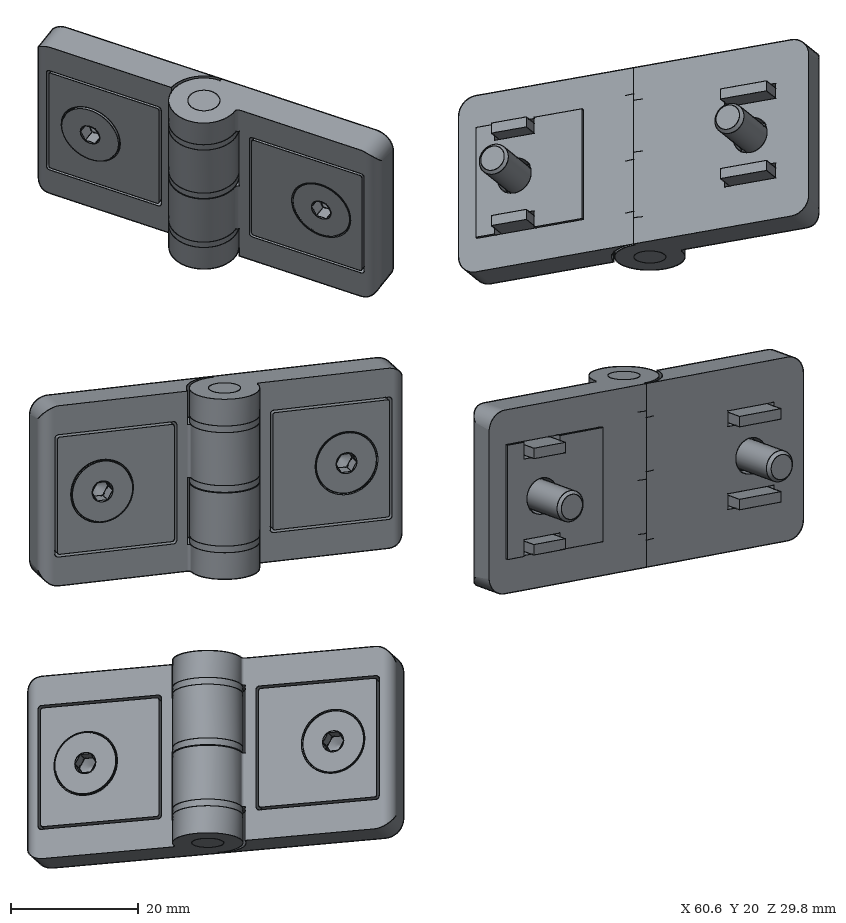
import cadquery as cq
import math

LEFT, RIGHT = -1, 1
SIDES = (LEFT, RIGHT)

half_width = 30.3
height = 29.8
half_height = height / 2
knuckle_dia = 11.0
knuckle_radius = knuckle_dia / 2
clearance_radius = 6.0
back_y = clearance_radius
front_y = 0.5
corner_radius = 3.0
end_draft = math.radians(1.0)
front_edge_radius = 2.0

end_knuckle_length = 4.4
long_knuckle_length = 8.8
washer_thickness = 1.1
axial_play = height - 2 * (end_knuckle_length + long_knuckle_length) - 3 * washer_thickness

top_washer_top = half_height - end_knuckle_length
upper_knuckle_top = top_washer_top - washer_thickness
middle_washer_top = upper_knuckle_top - long_knuckle_length
lower_knuckle_top = middle_washer_top - washer_thickness - axial_play
bottom_washer_top = lower_knuckle_top - long_knuckle_length
bottom_knuckle_top = bottom_washer_top - washer_thickness

washer_tops = (top_washer_top, middle_washer_top, bottom_washer_top)
knuckle_spans = {
    LEFT: ((middle_washer_top, upper_knuckle_top), (-half_height, bottom_knuckle_top)),
    RIGHT: ((top_washer_top, half_height), (bottom_washer_top, lower_knuckle_top)),
}
pin_dia = 5.0

insert_center_x = 17.9
insert_size = 19.4
insert_corner_radius = 0.35
insert_thickness = 3.0
insert_gap = 0.4
recess_corner_radius = 0.6
insert_back_y = front_y + insert_thickness

lug_end_y = 8.5
lug_thickness = 1.7
lug_width = {LEFT: 8.0, RIGHT: 6.05}
lug_outer_z = {LEFT: 7.6, RIGHT: 8.65}

pad_width = 18.35
pad_height = 18.55
pad_thickness = 0.5

window_outer_z = {LEFT: lug_outer_z[LEFT] + insert_gap, RIGHT: pad_height / 2}

screw_x = {LEFT: -20.2, RIGHT: 20.4}
screw_dia = 5.0
screw_length = 14.0
tip_chamfer_length = {LEFT: 0.6, RIGHT: 0.5}
tip_chamfer_depth = 0.5
head_dia = 10.0
head_height = 2.1
head_hole_rim_dia = 10.4
head_front_y = {LEFT: 0.25, RIGHT: front_y}
hex_corner_dia = 3.45
hex_depth = 2.4
socket_rim_depth = 0.1
drill_point_half_angle = math.radians(60)


def block(x_center, width, y_start, y_end, z_center, block_height):
    """Box centred in X and Z that runs from y_start to y_end."""
    return (
        cq.Workplane("XY")
        .box(width, y_end - y_start, block_height)
        .translate((x_center, (y_start + y_end) / 2, z_center))
    )


def rounded_block(x_center, width, y_start, y_end, block_height, radius):
    """Block centred on Z = 0 with its edges along Y rounded."""
    return block(x_center, width, y_start, y_end, 0, block_height).edges("|Y").fillet(radius)


def cylinder_along_y(x, diameter, y_start, y_end):
    return cq.Workplane(
        cq.Solid.makeCylinder(diameter / 2, y_end - y_start, cq.Vector(x, y_start, 0), cq.Vector(0, 1, 0))
    )


def cone_along_y(x, start_dia, end_dia, y_start, length):
    return cq.Workplane(
        cq.Solid.makeCone(start_dia / 2, end_dia / 2, length, cq.Vector(x, y_start, 0), cq.Vector(0, 1, 0))
    )


def leaf_plate(side):
    """Flat leaf from the hinge axis to its drafted, rounded outer end."""
    front_end_x = half_width - (back_y - front_y) * math.tan(end_draft)
    plate = (
        cq.Workplane("XY")
        .workplane(offset=-half_height)
        .polyline([
            (0, front_y),
            (side * front_end_x, front_y),
            (side * half_width, back_y),
            (0, back_y),
        ])
        .close()
        .extrude(height)
    )
    end_edge = cq.selectors.NearestToPointSelector((side * front_end_x, front_y, 0))
    plate = plate.edges(end_edge).fillet(front_edge_radius)
    outline = (
        block(side * half_width / 2, half_width, front_y, back_y, 0, height)
        .edges("|Y and " + (">X" if side == RIGHT else "<X"))
        .fillet(corner_radius)
    )
    return plate.intersect(outline)


def knuckle(side, bottom, top):
    """Knuckle with the small concave rounding where it runs into the leaf's front face."""
    length = top - bottom
    barrel = cq.Workplane("XY").workplane(offset=bottom).circle(knuckle_radius).extrude(length)
    round_end_x = knuckle_radius + front_y
    round_middle_x = round_end_x - front_y * math.cos(math.pi / 4)
    round_middle_y = front_y * math.sin(math.pi / 4)
    web = (
        cq.Workplane("XY")
        .workplane(offset=bottom)
        .moveTo(0, 0)
        .lineTo(side * knuckle_radius, 0)
        .threePointArc((side * round_middle_x, round_middle_y), (side * round_end_x, front_y))
        .lineTo(0, front_y)
        .close()
        .extrude(length)
    )
    return barrel.union(web)


def knuckle_clearance(side):
    """Cylinder to remove from a leaf everywhere except at its own knuckles."""
    cutter = cq.Workplane("XY").circle(clearance_radius).extrude(half_height, both=True)
    for bottom, top in knuckle_spans[side]:
        kept = block(0, 2 * half_width, -half_width, half_width, (bottom + top) / 2, top - bottom)
        cutter = cutter.cut(kept)
    return cutter


def make_leaf(side):
    leaf = leaf_plate(side).cut(knuckle_clearance(side))
    for bottom, top in knuckle_spans[side]:
        leaf = leaf.union(knuckle(side, bottom, top))
    leaf = leaf.cut(make_pin())

    insert_x = side * insert_center_x
    if side == RIGHT:
        pad = block(insert_x, pad_width, back_y, back_y + pad_thickness, 0, pad_height)
        leaf = leaf.union(pad)

    recess_size = insert_size + 2 * insert_gap
    recess = rounded_block(
        insert_x, recess_size, front_y, insert_back_y, recess_size, recess_corner_radius
    )
    leaf = leaf.cut(recess)

    outer_z = window_outer_z[side]
    inner_z = lug_outer_z[side] - lug_thickness - insert_gap
    window_width = lug_width[side] + 2 * insert_gap
    window_z = (outer_z + inner_z) / 2
    floor_end_y = back_y + pad_thickness
    for z in (-window_z, window_z):
        leaf = leaf.cut(
            block(screw_x[side], window_width, insert_back_y, floor_end_y, z, outer_z - inner_z)
        )
    screw_clearance_dia = screw_dia + 2 * insert_gap
    return leaf.cut(
        cylinder_along_y(screw_x[side], screw_clearance_dia, insert_back_y, floor_end_y)
    )


def make_pin():
    return cq.Workplane("XY").circle(pin_dia / 2).extrude(half_height, both=True)


def make_washer(top):
    return (
        cq.Workplane("XY")
        .workplane(offset=top - washer_thickness)
        .circle(knuckle_radius)
        .circle(pin_dia / 2)
        .extrude(washer_thickness)
    )


def make_insert(side):
    """Square insert with two lugs on its back and a stepped hole for the screw."""
    insert = rounded_block(
        side * insert_center_x, insert_size, front_y, insert_back_y, insert_size, insert_corner_radius
    )
    lug_z = lug_outer_z[side] - lug_thickness / 2
    for z in (-lug_z, lug_z):
        lug = block(screw_x[side], lug_width[side], insert_back_y, lug_end_y, z, lug_thickness)
        insert = insert.union(lug)

    hole_x = screw_x[side]
    seat_y = head_front_y[side] + head_height
    rim_depth = (head_hole_rim_dia - head_dia) / 2
    return (
        insert
        .cut(cylinder_along_y(hole_x, head_dia, front_y, seat_y))
        .cut(cone_along_y(hole_x, head_hole_rim_dia, head_dia, front_y, rim_depth))
        .cut(cylinder_along_y(hole_x, screw_dia, seat_y, insert_back_y))
    )


def make_screw(side):
    """Cylinder-head screw with a drilled hexagon socket and a chamfered tip."""
    x = screw_x[side]
    head_y = head_front_y[side]
    shank = cylinder_along_y(x, screw_dia, head_y, head_y + screw_length)
    shank = shank.faces(">Y").edges().chamfer(tip_chamfer_length[side], tip_chamfer_depth)
    screw = shank.union(cylinder_along_y(x, head_dia, head_y, head_y + head_height))

    hexagon = (
        cq.Workplane("XZ", origin=(x, head_y, 0))
        .polygon(6, hex_corner_dia)
        .extrude(-hex_depth)
    )
    point_length = hex_corner_dia / 2 / math.tan(drill_point_half_angle)
    point = cone_along_y(x, hex_corner_dia, 0, head_y + hex_depth, point_length)
    hex_flat_width = hex_corner_dia * math.cos(math.pi / 6)
    rim = cone_along_y(x, hex_corner_dia, hex_flat_width, head_y, socket_rim_depth)
    return screw.cut(hexagon).cut(point).cut(rim)


leaves = [make_leaf(side) for side in SIDES]
inserts = [make_insert(side) for side in SIDES]
screws = [make_screw(side) for side in SIDES]
washers = [make_washer(top) for top in washer_tops]
pin = make_pin()

bodies = [*leaves, *inserts, *screws, *washers, pin]
result = cq.Compound.makeCompound([body.val() for body in bodies])